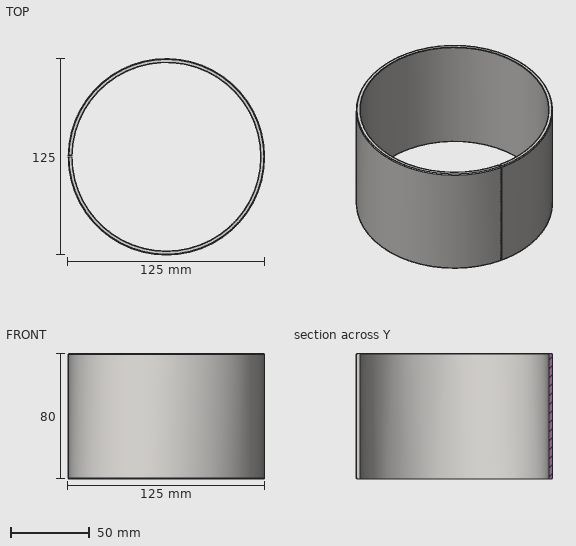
import cadquery as cq

outer_diameter = 125.0
wall = 2.5
length = 80.0
slit_width = 1.0
outer_chamfer_height = 0.8
outer_chamfer_depth = 0.5
inner_chamfer = 0.2

outer_radius = outer_diameter / 2
inner_radius = outer_radius - wall
half_length = length / 2


def bushing_sleeve():
    """Revolve the wall section, with all four rims chamfered."""
    rim_outer = outer_radius - outer_chamfer_depth
    rim_inner = inner_radius + inner_chamfer
    outer_shoulder = half_length - outer_chamfer_height
    inner_shoulder = half_length - inner_chamfer
    section = [
        (rim_inner, -half_length),
        (rim_outer, -half_length),
        (outer_radius, -outer_shoulder),
        (outer_radius, outer_shoulder),
        (rim_outer, half_length),
        (rim_inner, half_length),
        (inner_radius, inner_shoulder),
        (inner_radius, -inner_shoulder),
    ]
    return cq.Workplane("XZ").polyline(section).close().revolve(360, (0, 0), (0, 1))


def slit_cutter():
    """Full-length slot through the -X wall, with one face on the Y = 0 plane."""
    slot = cq.Workplane("XY").box(outer_radius, slit_width, length)
    return slot.translate((-outer_radius, slit_width / 2, 0))


result = bushing_sleeve().cut(slit_cutter())